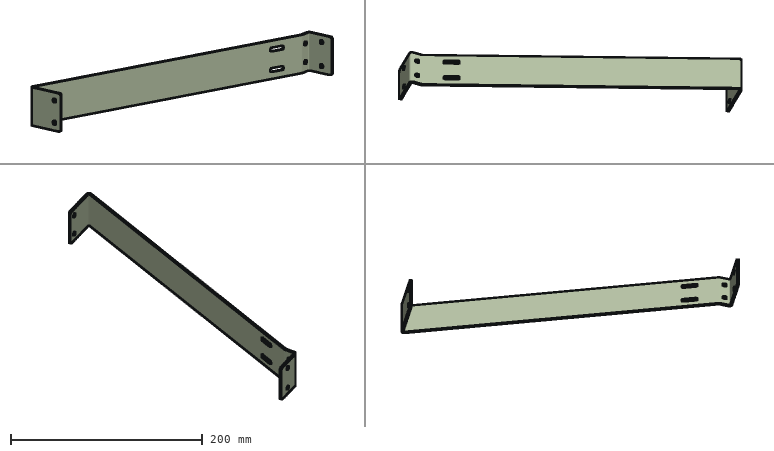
import cadquery as cq
import math

width_x = 151.5
length_y = 325.0
height_z = 42.0

thickness = 2.0
inner_radius = 1.0
outer_radius = inner_radius + thickness
corner_radius = 3.0

lower_flange_length = 39.0
riser_x = 120.0
riser_length = 13.3

hole_diameter = 4.2
lower_hole_x = 31.0
lower_hole_offset = 12.2
upper_hole_x = width_x - 13.3
upper_hole_offset = 13.15
riser_hole_y = length_y - 7.8
riser_hole_offset = 10.25
slot_y = length_y - 42.0
slot_offset = 11.2
slot_length = 16.5
slot_width = 4.2

riser_foot_y = length_y - riser_length
run_x = riser_x - outer_radius
run_y = riser_foot_y - outer_radius
slope = math.atan2(run_y, run_x) - math.asin(outer_radius / math.hypot(run_x, run_y))
lower_corner_x = outer_radius - outer_radius / math.tan(slope / 2)

lower_shift = thickness / math.tan(slope / 2)
riser_shift = thickness * math.tan((math.pi / 2 - slope) / 2)

left_corners = [
    (lower_corner_x, 0),
    (riser_x, riser_foot_y),
    (riser_x, length_y),
]
right_corners = [
    (lower_corner_x + lower_shift, thickness),
    (riser_x + thickness, riser_foot_y - riser_shift),
    (riser_x + thickness, length_y - thickness),
]


def bent_sheet():
    """Extrude the sheet profile and round both faces of each bend."""
    upper_end = [(width_x, length_y), (width_x, length_y - thickness)]
    lower_end = [(lower_flange_length, thickness), (lower_flange_length, 0)]
    outline = left_corners + upper_end + right_corners[::-1] + lower_end
    sheet = cq.Workplane("XY").polyline(outline).close().extrude(height_z / 2, both=True)

    outside = [left_corners[0], right_corners[1], left_corners[2]]
    inside = [right_corners[0], left_corners[1], right_corners[2]]
    for corners, radius in ((outside, outer_radius), (inside, inner_radius)):
        for x, y in corners:
            bend_edge = cq.selectors.NearestToPointSelector((x, y, 0))
            sheet = sheet.edges("|Z").edges(bend_edge).fillet(radius)
    return sheet


def round_flange_end(sheet, end_x, middle_y):
    """Round the two free corners of a flange."""
    for z in (-height_z / 2, height_z / 2):
        corner = cq.selectors.NearestToPointSelector((end_x, middle_y, z))
        sheet = sheet.edges("|Y").edges(corner).fillet(corner_radius)
    return sheet


def cutter_pair(x, y, normal, offset, length, width):
    """Make two round or slotted cutters, square to the sheet, at +/- offset in Z."""
    along = (-normal[1], normal[0], 0)
    plane = cq.Plane(origin=(x, y, 0), xDir=along, normal=normal)
    centres = [(0, -offset), (0, offset)]
    places = cq.Workplane(plane).pushPoints(centres)
    profile = places.slot2D(length, width) if length > width else places.circle(width / 2)
    return profile.extrude(2 * thickness, both=True)


def hole_pair(x, y, normal, offset):
    return cutter_pair(x, y, normal, offset, hole_diameter, hole_diameter)


lower_flange_y = thickness / 2
upper_flange_y = length_y - thickness / 2
slot_x = riser_x - (riser_foot_y - slot_y) / math.tan(slope)
strip_normal = (math.sin(slope), -math.cos(slope), 0)

result = bent_sheet()
result = round_flange_end(result, lower_flange_length, lower_flange_y)
result = round_flange_end(result, width_x, upper_flange_y)
result = result.cut(hole_pair(lower_hole_x, lower_flange_y, (0, 1, 0), lower_hole_offset))
result = result.cut(hole_pair(upper_hole_x, upper_flange_y, (0, 1, 0), upper_hole_offset))
result = result.cut(hole_pair(riser_x, riser_hole_y, (1, 0, 0), riser_hole_offset))
result = result.cut(cutter_pair(slot_x, slot_y, strip_normal, slot_offset, slot_length, slot_width))